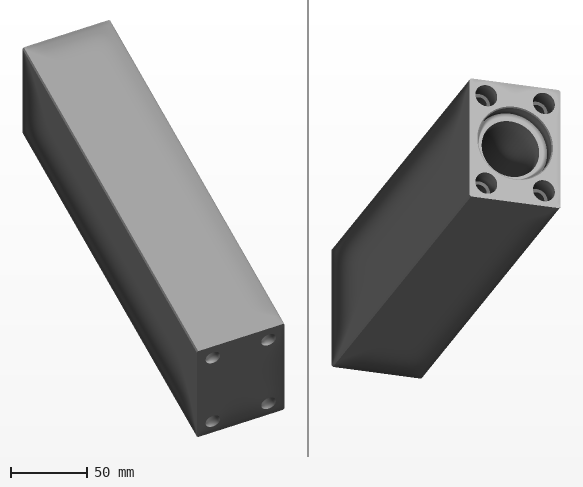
import cadquery as cq

length = 291.0
width = 63.0
height = 85.0
edge_chamfer = 1.0

bolt_spacing_y = 40.0
bolt_spacing_z = 63.0
bolt_hole_diameter = 10.5
bolt_recess_diameter = 15.0
bolt_recess_depth = bolt_recess_diameter

bore_diameter = 40.0
end_wall = 23.3
bore_depth = length - end_wall
seat_diameter = 51.0
seat_depth = 10.0
mouth_chamfer = 0.75
mouth_diameter = seat_diameter + 2 * mouth_chamfer


def make_block():
    """Rectangular bar with its open end on X = 0 and its long edges chamfered."""
    bar = cq.Workplane("XY").box(length, width, height, centered=(False, True, True))
    return bar.edges("|X").chamfer(edge_chamfer)


def make_bolt_hole_tools():
    """Through holes with counterbores at the four corners."""
    corners = cq.Workplane("YZ").rarray(bolt_spacing_y, bolt_spacing_z, 2, 2)
    holes = corners.circle(bolt_hole_diameter / 2).extrude(length)
    recesses = corners.circle(bolt_recess_diameter / 2).extrude(bolt_recess_depth)
    return holes.union(recesses)


def make_bore_tool():
    """Stepped bore profile (X, radius) revolved about the X axis."""
    profile = [
        (0, 0),
        (0, mouth_diameter / 2),
        (mouth_chamfer, seat_diameter / 2),
        (seat_depth, seat_diameter / 2),
        (seat_depth, bore_diameter / 2),
        (bore_depth, bore_diameter / 2),
        (bore_depth, 0),
    ]
    half_section = cq.Workplane("XY").polyline(profile).close()
    return half_section.revolve(360, (0, 0, 0), (1, 0, 0))


result = make_block().cut(make_bolt_hole_tools()).cut(make_bore_tool())